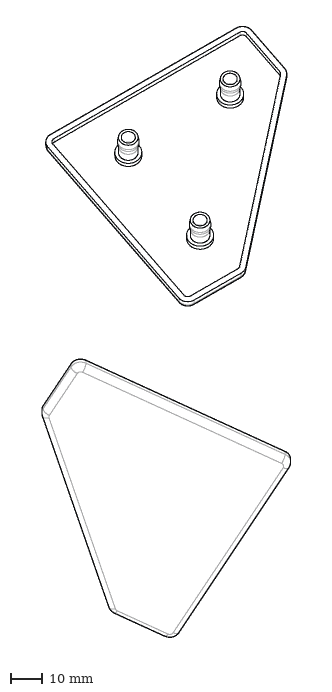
import cadquery as cq

side = 80.0
short_side = 23.5
plate_height = 4.0
corner_radius = 3.5
bottom_fillet = 2.25

rim_width = 2.0
floor_height = 2.0

post_inset = 20.0
post_pitch = 40.0
post_top = 12.0
post_radius = 3.15
barb_radius = 3.45
barb_start = 7.0
barb_land_bottom = 9.0
barb_land_top = 10.0
collar_radius = 4.35
collar_height = 1.7
bore_radius = 2.25
bore_bottom = 4.0
collar_top = floor_height + collar_height

post_places = [
    (post_inset, post_inset),
    (post_inset + post_pitch, post_inset),
    (post_inset, post_inset + post_pitch),
]


def make_plate():
    """Solid plate with rounded corners and a rounded bottom edge."""
    outline = [
        (0, 0),
        (side, 0),
        (side, short_side),
        (short_side, side),
        (0, side),
    ]
    plate = cq.Workplane("XY").polyline(outline).close().extrude(plate_height)
    plate = plate.edges("|Z").fillet(corner_radius)
    return plate.faces("<Z").edges().fillet(bottom_fillet)


def make_recess(plate):
    """Pocket that leaves a rim of even width around the plate."""
    outer_wire = plate.faces(">Z").wires().toPending()
    recess_depth = plate_height - floor_height
    return outer_wire.offset2D(-rim_width).extrude(-recess_depth, combine=False)


def make_post():
    """Collar and barbed post, turned about the Z axis."""
    profile = [
        (0, floor_height),
        (collar_radius, floor_height),
        (collar_radius, collar_top),
        (post_radius, collar_top),
        (post_radius, barb_start),
        (barb_radius, barb_land_bottom),
        (barb_radius, barb_land_top),
        (post_radius, post_top),
        (0, post_top),
    ]
    return cq.Workplane("XZ").polyline(profile).close().revolve(axisStart=(0, 0), axisEnd=(0, 1))


def make_bore():
    """Blind bore with a hemispherical end."""
    straight_bottom = bore_bottom + bore_radius
    bore = (
        cq.Workplane("XY")
        .workplane(offset=straight_bottom)
        .circle(bore_radius)
        .extrude(post_top - straight_bottom)
    )
    ball = cq.Workplane("XY").sphere(bore_radius).translate((0, 0, straight_bottom))
    return bore.union(ball)


plate = make_plate()
result = plate.cut(make_recess(plate))
post = make_post().cut(make_bore())
for x, y in post_places:
    result = result.union(post.translate((x, y, 0)))